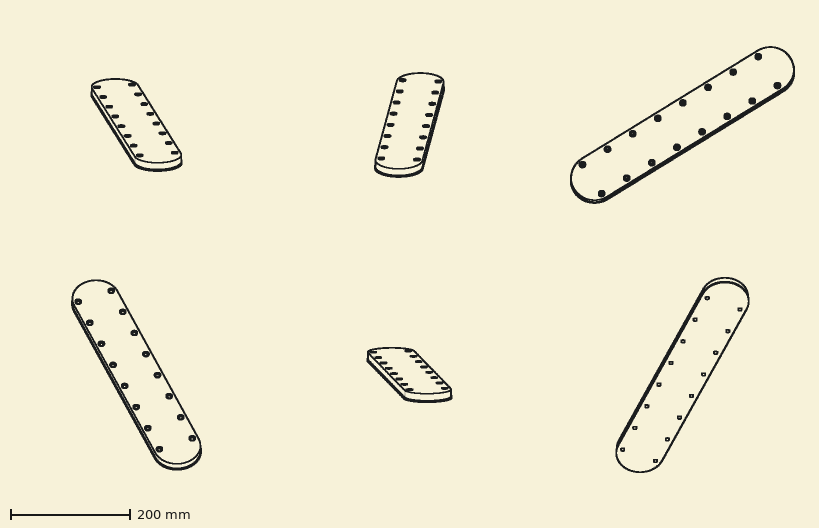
import cadquery as cq

hole_pitch = 50.0
holes_per_row = 8
row_spacing = 60.0
pattern_shift = -5.0

spine_length = hole_pitch * (holes_per_row - 1)
rim_radius = 40.47
rim_overhang = 1.0
body_radius = rim_radius - rim_overhang
thickness = 14.55
rim_thickness = 2.55

hole_diameter = 6.0
counterbore_diameter = 8.4
counterbore_depth = 2.0
mouth_chamfer = 1.0

heading_angle = -17.24
climb_angle = 0.58


def stadium(end_radius, height):
    """Round-ended slab standing on the XY plane, its spine along X."""
    overall_length = spine_length + 2 * end_radius
    return cq.Workplane("XY").slot2D(overall_length, 2 * end_radius).extrude(height)


def screw_hole_cutter():
    """Solid to remove for one screw hole, centred on the Z axis."""
    counterbore_radius = counterbore_diameter / 2
    through_hole = cq.Workplane("XY").circle(hole_diameter / 2).extrude(thickness)
    counterbore = (
        cq.Workplane("XY")
        .workplane(offset=thickness - counterbore_depth)
        .circle(counterbore_radius)
        .extrude(counterbore_depth)
    )
    mouth = cq.Solid.makeCone(
        counterbore_radius,
        counterbore_radius + mouth_chamfer,
        mouth_chamfer,
        pnt=cq.Vector(0, 0, thickness - mouth_chamfer),
    )
    return through_hole.union(counterbore).union(cq.Workplane(mouth)).val()


def drill_screw_holes(plate):
    """Cut both rows of screw holes."""
    cutter = screw_hole_cutter()
    cutters = (
        cq.Workplane("XY")
        .center(pattern_shift, 0)
        .rarray(hole_pitch, row_spacing, holes_per_row, 2)
        .eachpoint(lambda location: cutter.moved(location))
    )
    return plate.cut(cutters)


body = stadium(body_radius, thickness)
rim = stadium(rim_radius, rim_thickness)
plate = drill_screw_holes(body.union(rim))

result = (
    plate
    .rotate((0, 0, 0), (0, 0, 1), heading_angle)
    .rotate((0, 0, 0), (0, 1, 0), -climb_angle)
)